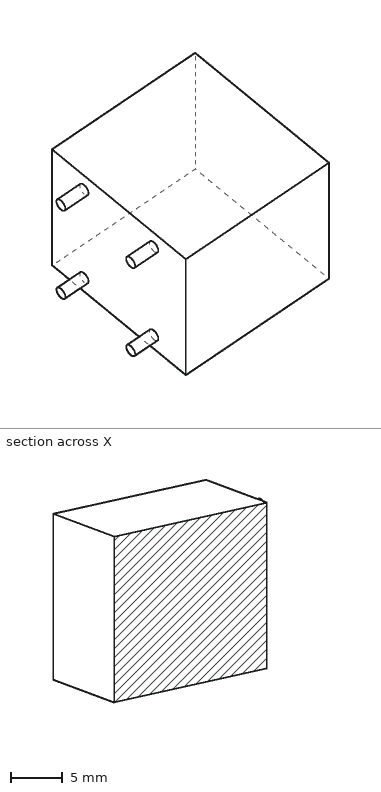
import cadquery as cq

width = 19.2
total_depth = 21.6
height = 16.7

pin_length = 3.0
pin_diameter = 1.3
pin_spacing_x = 10.0
pin_spacing_z = 12.7

body_depth = total_depth - pin_length

body = cq.Workplane("XY").box(width, body_depth, height, centered=(True, False, True))

pins = (
    cq.Workplane("XZ")
    .rarray(pin_spacing_x, pin_spacing_z, 2, 2)
    .circle(pin_diameter / 2)
    .extrude(pin_length)
)

result = body.union(pins)